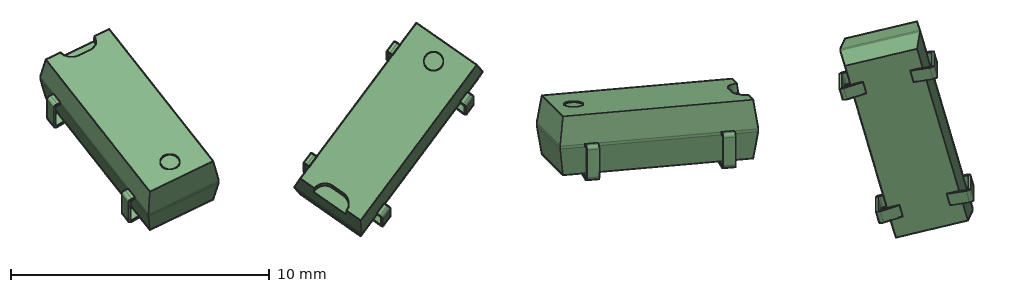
import cadquery as cq
import math

body_length = 8.0
body_width = 3.2
draft_inset = 0.16
half_height = 1.14
band_height = 0.11
standoff = 0.18

band_bottom = standoff + half_height
band_top = band_bottom + band_height
body_top = band_top + half_height

notch_width = 1.53
notch_reach = 0.66
notch_depth = 0.38
notch_radius = 0.51

dimple_x = 2.98
dimple_diameter = 0.75
dimple_depth = 0.05

lead_span = 3.8
lead_width = 0.5
lead_x = 2.75
bend_radius = 0.15
inner_bend_radius = 0.052
foot_angle = math.radians(10.0)
foot_end_y = 0.94

lead_thickness = bend_radius - inner_bend_radius


def drafted_half(base_z, direction):
    """Half of the body, shrinking from the band face at base_z towards +Z (1) or -Z (-1)."""
    return (
        cq.Workplane("XY", origin=(0, 0, base_z))
        .rect(body_length, body_width)
        .workplane(offset=direction * half_height)
        .rect(body_length - 2 * draft_inset, body_width - 2 * draft_inset)
        .loft(ruled=True)
    )


def make_body():
    band = (
        cq.Workplane("XY", origin=(0, 0, band_bottom))
        .rect(body_length, body_width)
        .extrude(band_height)
    )
    return band.union(drafted_half(band_top, 1)).union(drafted_half(band_bottom, -1))


def make_notch():
    """Pocket cutter with two rounded inner corners, open through the -X end."""
    return (
        cq.Workplane("XY", origin=(-body_length / 2, 0, body_top))
        .rect(2 * notch_reach, notch_width)
        .extrude(-notch_depth)
        .edges("|Z and >X")
        .fillet(notch_radius)
    )


def make_dimple():
    return (
        cq.Workplane("XY", origin=(dimple_x, 0, body_top))
        .circle(dimple_diameter / 2)
        .extrude(-dimple_depth)
    )


def foot_underside_z(y):
    """Height of the sloping foot underside, placed so that its rounded bend rests on Z = 0."""
    slope = math.tan(foot_angle)
    corner_z = bend_radius * (1 - slope - 1 / math.cos(foot_angle))
    return corner_z + slope * (lead_span / 2 - y)


def make_lead(center_x):
    outer_y = lead_span / 2
    inner_y = outer_y - lead_thickness
    foot_rise = lead_thickness / math.cos(foot_angle)
    outer_corners = [(outer_y, band_top), (outer_y, foot_underside_z(outer_y))]
    inner_corners = [
        (inner_y, band_top - lead_thickness),
        (inner_y, foot_underside_z(inner_y) + foot_rise),
    ]
    foot_tip_z = foot_underside_z(foot_end_y)
    side = [
        *outer_corners,
        (foot_end_y, foot_tip_z),
        (foot_end_y, foot_tip_z + foot_rise),
        *reversed(inner_corners),
    ]
    other_side = [(-y, z) for y, z in reversed(side)]
    lead = (
        cq.Workplane("YZ", origin=(center_x - lead_width / 2, 0, 0))
        .polyline(side + other_side)
        .close()
        .extrude(lead_width)
    )
    for corners, radius in ((outer_corners, bend_radius), (inner_corners, inner_bend_radius)):
        for y, z in corners:
            for side_sign in (1, -1):
                corner_point = (center_x, side_sign * y, z)
                lead = lead.edges(cq.selectors.NearestToPointSelector(corner_point)).fillet(radius)
    return lead


result = make_body().cut(make_notch()).cut(make_dimple())
for center_x in (-lead_x, lead_x):
    result = result.union(make_lead(center_x))